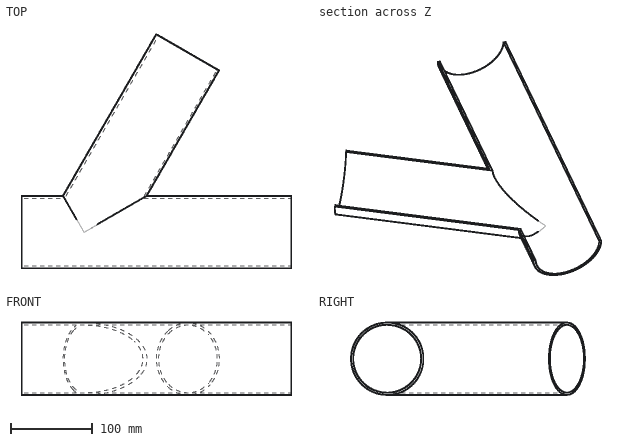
import cadquery as cq

run_length = 330.2
outer_diameter = 88.8
bore_diameter = 83.0
branch_angle = 60.0
branch_length = 254.0
branch_offset = 76.3


def wye(diameter):
    """Solid run along X joined to a slanted branch, both of one diameter."""
    run = cq.Workplane("YZ").circle(diameter / 2).extrude(run_length)
    branch = (
        cq.Workplane("YZ")
        .circle(diameter / 2)
        .extrude(branch_length)
        .rotate((0, 0, 0), (0, 0, 1), branch_angle)
        .translate((branch_offset, 0, 0))
    )
    return run.union(branch)


result = wye(outer_diameter).cut(wye(bore_diameter))